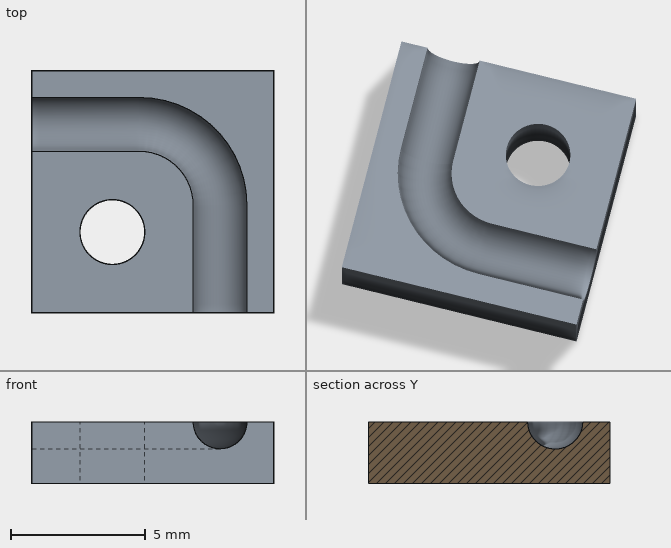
import cadquery as cq

plate_side = 9.0
plate_thickness = 2.29

groove_radius = 1.0
groove_offset = 7.0
bend_radius = 3.0
bend_center = groove_offset - bend_radius

hole_diameter = 2.4
hole_offset = 3.0


def make_plate():
    return cq.Workplane("XY").box(plate_side, plate_side, plate_thickness, centered=False)


def make_groove_cutter():
    """Round bar following the groove centreline: straight, quarter bend, straight."""
    top_plane = cq.Workplane("XY").workplane(offset=plate_thickness)
    path = (
        top_plane.moveTo(0, groove_offset)
        .lineTo(bend_center, groove_offset)
        .radiusArc((groove_offset, bend_center), bend_radius)
        .lineTo(groove_offset, 0)
    )
    section = cq.Workplane("YZ").center(groove_offset, plate_thickness).circle(groove_radius)
    return section.sweep(path)


def make_hole_cutter():
    return (
        cq.Workplane("XY")
        .center(hole_offset, hole_offset)
        .circle(hole_diameter / 2)
        .extrude(plate_thickness)
    )


result = make_plate().cut(make_groove_cutter()).cut(make_hole_cutter())